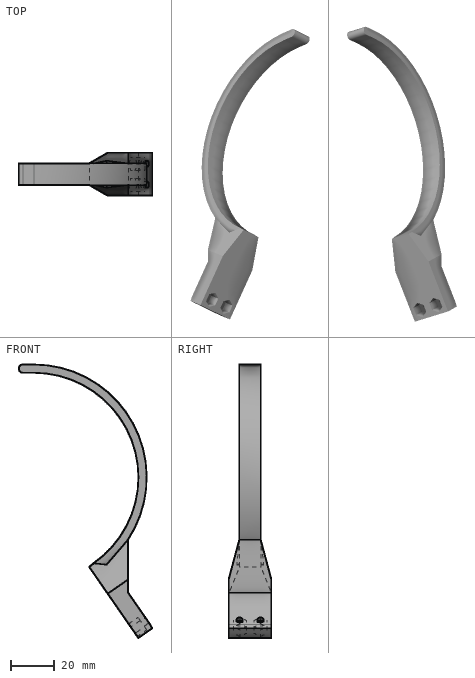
import cadquery as cq
import math

outer_radius = 52.5
arm_thickness = 4.0
inner_radius = outer_radius - arm_thickness
arm_width = 10.0
straight_length = 7.0
tip_round = 1.9

plate_width = 20.0
plate_thickness = 8.1
plate_slope = 55.3
plate_end_length = 25.0
taper_length = 15.1
plate_length = plate_end_length + taper_length
low_corner_x = 48.6
low_corner_z = outer_radius - 127.2
back_x = 43.9
edge_chamfer_length = 2.3
edge_chamfer_depth = 0.3

seat_point = (33.8, -40.5)
seat_end_x = 27.7
seat_end_z = -math.sqrt(inner_radius**2 - seat_end_x**2)
back_top_z = -math.sqrt(outer_radius**2 - back_x**2)

hole_spacing = 9.7
hole_end_distance = 4.6
hole_diameter = 2.9
nut_flats = 6.1
nut_depth = 5.3

slope = math.radians(plate_slope)
along = (-math.cos(slope), math.sin(slope))
across = (math.sin(slope), math.cos(slope))


def plate_point(distance, depth):
    """XZ point at a distance up the plate and a depth behind its front face."""
    return (
        low_corner_x + distance * along[0] + depth * across[0],
        low_corner_z + distance * along[1] + depth * across[1],
    )


def extrude_centred(sketch, width):
    return sketch.extrude(width / 2, both=True)


def circle_point(radius, angle):
    return (radius * math.cos(angle), radius * math.sin(angle))


def make_arm():
    outer_end = math.atan2(back_top_z, back_x)
    inner_end = math.atan2(seat_end_z, seat_end_x)
    sketch = (
        cq.Workplane("XZ")
        .moveTo(-straight_length, outer_radius)
        .lineTo(0, outer_radius)
        .threePointArc(
            circle_point(outer_radius, (math.pi / 2 + outer_end) / 2),
            circle_point(outer_radius, outer_end),
        )
        .lineTo(*seat_point)
        .lineTo(seat_end_x, seat_end_z)
        .threePointArc(
            circle_point(inner_radius, (math.pi / 2 + inner_end) / 2),
            (0, inner_radius),
        )
        .lineTo(-straight_length, inner_radius)
        .close()
    )
    return extrude_centred(sketch, arm_width).edges("<X and |Y").fillet(tip_round)


def make_bracket():
    """Bracket profile in XZ, trimmed to the tapered plan of the plate."""
    elbow_distance = (
        low_corner_x + plate_thickness * across[0] - back_x
    ) / math.cos(slope)
    profile = (
        cq.Workplane("XZ")
        .polyline([
            plate_point(0, 0),
            plate_point(0, plate_thickness - edge_chamfer_depth),
            plate_point(edge_chamfer_length, plate_thickness),
            plate_point(elbow_distance, plate_thickness),
            (back_x, back_top_z),
            seat_point,
            (seat_end_x, seat_end_z),
            plate_point(plate_length, 0),
        ])
        .close()
    )
    half_wide = plate_width / 2
    half_narrow = arm_width / 2
    plan_reach = 2 * plate_length
    plan = (
        plate_workplane()
        .polyline([
            (0, -half_wide),
            (plate_end_length, -half_wide),
            (plate_length, -half_narrow),
            (plan_reach, -half_narrow),
            (plan_reach, half_narrow),
            (plate_length, half_narrow),
            (plate_end_length, half_wide),
            (0, half_wide),
        ])
        .close()
        .extrude(plate_length)
    )
    return extrude_centred(profile, plate_width).intersect(plan)


def plate_workplane():
    """Front face of the plate: local X runs up the plate, normal goes into it."""
    x, z = plate_point(0, 0)
    return cq.Workplane(cq.Plane(
        origin=(x, 0, z),
        xDir=(along[0], 0, along[1]),
        normal=(across[0], 0, across[1]),
    ))


def make_screw_holes():
    centres = [(hole_end_distance, side * hole_spacing / 2) for side in (-1, 1)]
    nut_corners = nut_flats / math.cos(math.pi / 6)
    pockets = plate_workplane().pushPoints(centres).polygon(6, nut_corners).extrude(nut_depth)
    holes = plate_workplane().pushPoints(centres).circle(hole_diameter / 2).extrude(plate_thickness)
    return pockets.union(holes)


result = make_arm().union(make_bracket()).cut(make_screw_holes())